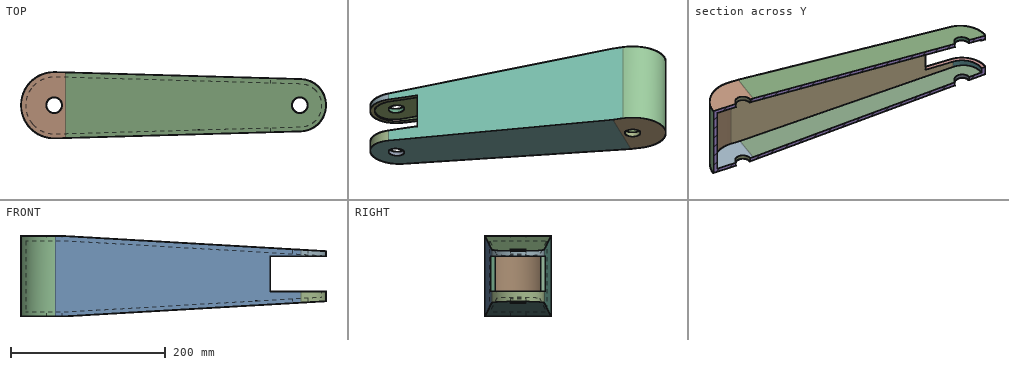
import cadquery as cq
import math

LARGE_RADIUS = 43.0
SMALL_RADIUS = 34.0
PIVOT_SPACING = 317.5
PIVOT_HOLE_DIAMETER = 20.0

LARGE_END_HEIGHT = 104.0
TIP_HEIGHT = 65.0
TAPER_START_X = 14.5

WALL = 6.0

SLOT_START_X = 279.5
SLOT_BOTTOM_Z = -19.5
SLOT_TOP_Z = 25.5

TIP_X = PIVOT_SPACING + SMALL_RADIUS
TAPER_ANGLE = math.atan2((LARGE_END_HEIGHT - TIP_HEIGHT) / 2, TIP_X - TAPER_START_X)


def plan_prism(inset):
    """Tall prism of the plan outline, moved inward by inset."""
    large = LARGE_RADIUS - inset
    small = SMALL_RADIUS - inset
    tangent_sine = (large - small) / PIVOT_SPACING
    tangent_cosine = math.sqrt(1 - tangent_sine**2)
    large_x = large * tangent_sine
    large_y = large * tangent_cosine
    small_x = PIVOT_SPACING + small * tangent_sine
    small_y = small * tangent_cosine
    return (
        cq.Workplane("XY")
        .moveTo(large_x, -large_y)
        .lineTo(small_x, -small_y)
        .threePointArc((PIVOT_SPACING + small, 0), (small_x, small_y))
        .lineTo(large_x, large_y)
        .threePointArc((-large, 0), (large_x, -large_y))
        .close()
        .extrude(LARGE_END_HEIGHT / 2, both=True)
    )


def side_prism(inset):
    """Wide prism of the tapered side profile, top and bottom moved inward by inset."""
    level_z = LARGE_END_HEIGHT / 2 - inset
    taper_x = TAPER_START_X - inset * math.tan(TAPER_ANGLE / 2)
    tip_z = level_z - (TIP_X - taper_x) * math.tan(TAPER_ANGLE)
    return (
        cq.Workplane("XZ")
        .polyline(
            [
                (-LARGE_RADIUS, -level_z),
                (taper_x, -level_z),
                (TIP_X, -tip_z),
                (TIP_X, tip_z),
                (taper_x, level_z),
                (-LARGE_RADIUS, level_z),
            ]
        )
        .close()
        .extrude(LARGE_RADIUS, both=True)
    )


def arm_body(inset):
    """Solid arm shape, moved inward by inset on every side."""
    return plan_prism(inset).intersect(side_prism(inset))


def fork_slot():
    """Block that opens the small end into two fork plates."""
    return (
        cq.Workplane("XY")
        .box(
            TIP_X - SLOT_START_X,
            2 * LARGE_RADIUS,
            SLOT_TOP_Z - SLOT_BOTTOM_Z,
            centered=(False, True, False),
        )
        .translate((SLOT_START_X, 0, SLOT_BOTTOM_Z))
    )


def pivot_holes():
    """Vertical pin holes through both pivots."""
    return (
        cq.Workplane("XY")
        .pushPoints([(0, 0), (PIVOT_SPACING, 0)])
        .circle(PIVOT_HOLE_DIAMETER / 2)
        .extrude(LARGE_END_HEIGHT / 2, both=True)
    )


hollow_arm = arm_body(0).cut(arm_body(WALL))
result = hollow_arm.cut(fork_slot()).cut(pivot_holes())